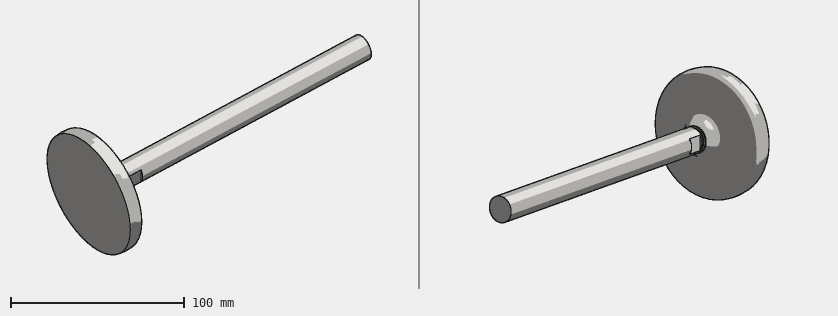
import cadquery as cq
import math

total_length = 202.0

base_diameter = 77.98
widest_height = 4.0
sole_diameter = 77.1
rim_top_diameter = 77.6
rim_top_height = 6.9
shoulder_radius = 3.0
cone_angle = 9.5
cone_top_height = 13.6
dome_center_height = 10.0
dome_radius = 13.0
dome_foot_height = 14.9
lip_foot_height = 20.1
base_height = 20.9

spindle_diameter = 16.0
spindle_start = 22.7
neck_diameter = 14.0
flat_start = 24.0
flat_length = 9.5
width_across_flats = 13.0


def dome_point(height):
    """Point (radius, height) on the spherical dome."""
    return math.sqrt(dome_radius**2 - (height - dome_center_height) ** 2), height


def revolve_about_y(profile):
    return profile.close().revolve(360, (0, 0, 0), (0, 1, 0))


def make_base():
    shoulder_center_x = rim_top_diameter / 2 - shoulder_radius

    def shoulder_point(angle):
        return (
            shoulder_center_x + shoulder_radius * math.cos(angle),
            rim_top_height + shoulder_radius * math.sin(angle),
        )

    shoulder_sweep = math.radians(90 - cone_angle)
    shoulder_end = shoulder_point(shoulder_sweep)
    cone_slope = math.tan(math.radians(cone_angle))
    cone_top_x = shoulder_end[0] - (cone_top_height - shoulder_end[1]) / cone_slope

    dome_foot = dome_point(dome_foot_height)
    dome_top = dome_point(lip_foot_height)
    profile = (
        cq.Workplane("XY")
        .lineTo(sole_diameter / 2, 0)
        .lineTo(base_diameter / 2, widest_height)
        .lineTo(rim_top_diameter / 2, rim_top_height)
        .threePointArc(shoulder_point(shoulder_sweep / 2), shoulder_end)
        .lineTo(cone_top_x, cone_top_height)
        .tangentArcPoint(dome_foot, relative=False)
        .threePointArc(dome_point((dome_foot_height + lip_foot_height) / 2), dome_top)
        .lineTo(dome_top[0], base_height)
        .lineTo(0, base_height)
    )
    return revolve_about_y(profile)


def make_spindle():
    neck_flare = (spindle_diameter - neck_diameter) / 2
    neck_height = spindle_start - base_height
    neck_arc_radius = (neck_flare**2 + neck_height**2) / (2 * neck_flare)
    half_sweep = math.atan2(neck_flare, neck_height)
    neck_middle = (
        neck_diameter / 2 + neck_arc_radius * (1 - math.cos(half_sweep)),
        base_height + neck_arc_radius * math.sin(half_sweep),
    )
    profile = (
        cq.Workplane("XY")
        .moveTo(0, base_height)
        .lineTo(neck_diameter / 2, base_height)
        .threePointArc(neck_middle, (spindle_diameter / 2, spindle_start))
        .lineTo(spindle_diameter / 2, total_length)
        .lineTo(0, total_length)
    )
    spindle = revolve_about_y(profile)

    cutter_width = spindle_diameter / 2
    cutter_offset = (width_across_flats + cutter_width) / 2
    for side in (-1, 1):
        cutter = (
            cq.Workplane("XY")
            .center(side * cutter_offset, flat_start + flat_length / 2)
            .box(cutter_width, flat_length, spindle_diameter)
        )
        spindle = spindle.cut(cutter)
    return spindle


base = make_base()
spindle = make_spindle()
result = cq.Compound.makeCompound([base.val(), spindle.val()])